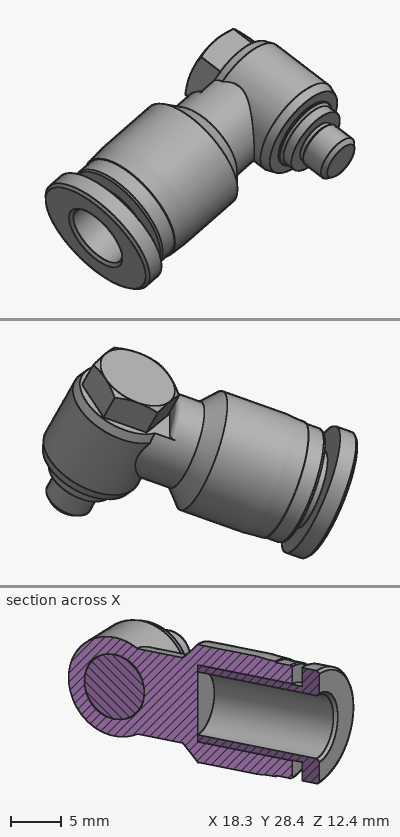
import cadquery as cq
import math


BARREL_DIAMETER = 10.4
BARREL_START_X = -2.67
BARREL_END_X = 6.25
BARREL_TAPER_LENGTH = 0.95
BARREL_TAPER_DEPTH = 0.35

OVERALL_LENGTH = 28.4
FLANGE_FACE = OVERALL_LENGTH - BARREL_DIAMETER / 2
NECK_DIAMETER = 9.0
NECK_END = 7.72
SOCKET_DIAMETER = 12.4
SOCKET_START = 9.43
SOCKET_TAPER_START = 16.25
SOCKET_TAPER_END_DIAMETER = 12.13
SOCKET_TAPER_END = 18.25
RIM_DIAMETER = 11.9
RIM_END = 20.14
RIM_CHAMFER_DEPTH = 0.1
RIM_CHAMFER_LENGTH = 0.23

POCKET_END = 4.8
POCKET_EDGE_RADIUS = 0.55

HEAD_ACROSS_FLATS = 8.0
HEAD_HEIGHT = 3.05
HEAD_CHAMFER_ANGLE = 30.0
SHANK_DIAMETER = 6.7
LIP_DIAMETER = 7.5
LIP_START_X = 6.35
LIP_EDGE_X = 6.55
COLLAR_DIAMETER = 7.0
COLLAR_START_X = 6.82
COLLAR_END_X = 7.87
UNDERCUT_DIAMETER = 4.5
UNDERCUT_END_X = 8.3
THREAD_DIAMETER = 4.83
THREAD_START_X = 8.43
BOLT_END_X = 11.27
BOLT_TIP_CHAMFER = 0.45

SLEEVE_DIAMETER = 8.0
SLEEVE_BORE = 6.55
SLEEVE_INNER_END = SOCKET_START
FLANGE_WIDTH = 14.03
FLANGE_HEIGHT = 11.9
FLANGE_THICKNESS = 2.0
FLANGE_CHAMFER = 0.28
BORE_CHAMFER = 0.3


def revolve_about_x(profile):
    """Turn a list of (x, radius) points about the X axis."""
    return cq.Workplane("XY").polyline(profile).close().revolve(360, (0, 0, 0), (1, 0, 0))


def revolve_about_tube_axis(profile):
    """Turn a list of (radius, distance along -Y) points about the Y axis."""
    points = [(radius, -distance) for radius, distance in profile]
    return cq.Workplane("XY").polyline(points).close().revolve(360, (0, 0, 0), (0, 1, 0))


def cylinder_along_tube(diameter, start, end):
    """Cylinder on the tube axis between two distances from the bolt axis."""
    return cq.Workplane("XZ", origin=(0, -start, 0)).circle(diameter / 2).extrude(end - start)


def cylinder_along_bolt(diameter, start_x, end_x):
    return cq.Workplane("YZ", origin=(start_x, 0, 0)).circle(diameter / 2).extrude(end_x - start_x)


def make_barrel():
    radius = BARREL_DIAMETER / 2
    end_radius = radius - BARREL_TAPER_DEPTH
    return revolve_about_x([
        (BARREL_START_X, 0),
        (BARREL_START_X, end_radius),
        (BARREL_START_X + BARREL_TAPER_LENGTH, radius),
        (BARREL_END_X - BARREL_TAPER_LENGTH, radius),
        (BARREL_END_X, end_radius),
        (BARREL_END_X, 0),
    ])


def make_neck():
    """Round neck; on the head side it stops short of the hexagon with a rounded edge."""
    rounded_neck = cylinder_along_tube(NECK_DIAMETER, POCKET_END, NECK_END)
    rounded_neck = rounded_neck.faces(">Y").edges().fillet(POCKET_EDGE_RADIUS)
    inner_neck = cylinder_along_tube(NECK_DIAMETER, 0, NECK_END)
    barrel_side = cq.Workplane("XY").box(
        BARREL_END_X - BARREL_START_X, 2 * NECK_END, NECK_DIAMETER
    ).translate(((BARREL_START_X + BARREL_END_X) / 2, 0, 0))
    return inner_neck.intersect(barrel_side).union(rounded_neck)


def make_socket():
    rim_radius = RIM_DIAMETER / 2
    return revolve_about_tube_axis([
        (0, NECK_END),
        (NECK_DIAMETER / 2, NECK_END),
        (SOCKET_DIAMETER / 2, SOCKET_START),
        (SOCKET_DIAMETER / 2, SOCKET_TAPER_START),
        (SOCKET_TAPER_END_DIAMETER / 2, SOCKET_TAPER_END),
        (rim_radius, SOCKET_TAPER_END),
        (rim_radius, RIM_END - RIM_CHAMFER_LENGTH),
        (rim_radius - RIM_CHAMFER_DEPTH, RIM_END),
        (0, RIM_END),
    ])


def make_elbow():
    bolt_hole = cylinder_along_bolt(SHANK_DIAMETER, BARREL_START_X, BARREL_END_X)
    sleeve_recess = cylinder_along_tube(SLEEVE_DIAMETER, SLEEVE_INNER_END, RIM_END)
    elbow = make_barrel().union(make_neck()).union(make_socket())
    return elbow.cut(bolt_hole).cut(sleeve_recess)


def make_bolt_head():
    """Hexagon with corners along Y, its outer face chamfered down to the across-flats circle."""
    across_corners = HEAD_ACROSS_FLATS / math.cos(math.pi / 6)
    face_x = BARREL_START_X - HEAD_HEIGHT
    face_radius = HEAD_ACROSS_FLATS / 2
    base_radius = face_radius + HEAD_HEIGHT / math.tan(math.radians(HEAD_CHAMFER_ANGLE))
    hexagon = cq.Workplane("YZ", origin=(face_x, 0, 0)).polygon(6, across_corners).extrude(HEAD_HEIGHT)
    chamfer_cone = revolve_about_x([
        (face_x, 0),
        (face_x, face_radius),
        (BARREL_START_X, base_radius),
        (BARREL_START_X, 0),
    ])
    return hexagon.intersect(chamfer_cone)


def make_bolt():
    shaft = revolve_about_x([
        (BARREL_START_X, 0),
        (BARREL_START_X, SHANK_DIAMETER / 2),
        (LIP_START_X, SHANK_DIAMETER / 2),
        (LIP_START_X, LIP_DIAMETER / 2),
        (LIP_EDGE_X, LIP_DIAMETER / 2),
        (COLLAR_START_X, COLLAR_DIAMETER / 2),
        (COLLAR_END_X, COLLAR_DIAMETER / 2),
        (COLLAR_END_X, UNDERCUT_DIAMETER / 2),
        (UNDERCUT_END_X, UNDERCUT_DIAMETER / 2),
        (THREAD_START_X, THREAD_DIAMETER / 2),
        (BOLT_END_X - BOLT_TIP_CHAMFER, THREAD_DIAMETER / 2),
        (BOLT_END_X, THREAD_DIAMETER / 2 - BOLT_TIP_CHAMFER),
        (BOLT_END_X, 0),
    ])
    return make_bolt_head().union(shaft)


def make_sleeve():
    """Round sleeve with an oval push flange and a through bore for the tube."""
    flange_start = FLANGE_FACE - FLANGE_THICKNESS
    flange = (
        cq.Workplane("XZ", origin=(0, -flange_start, 0))
        .ellipse(FLANGE_WIDTH / 2, FLANGE_HEIGHT / 2)
        .extrude(FLANGE_THICKNESS)
        .faces("<Y").edges().chamfer(FLANGE_CHAMFER)
    )
    tube = cylinder_along_tube(SLEEVE_DIAMETER, SLEEVE_INNER_END, flange_start)
    bore = cylinder_along_tube(SLEEVE_BORE, SLEEVE_INNER_END, FLANGE_FACE)
    sleeve = flange.union(tube).cut(bore)
    mouth_edge = sleeve.faces("<Y").edges("%CIRCLE")
    return mouth_edge.chamfer(BORE_CHAMFER)


elbow = make_elbow()
bolt = make_bolt()
sleeve = make_sleeve()

result = cq.Compound.makeCompound([elbow.val(), bolt.val(), sleeve.val()])